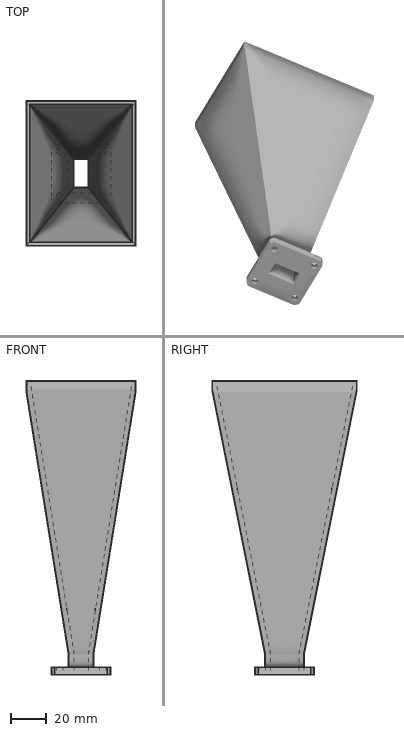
import cadquery as cq

TOTAL_HEIGHT = 165.0
APERTURE_X = 61.4
APERTURE_Y = 81.38
RIM_WALL = 2.0
RIM_HEIGHT_X = 6.25
RIM_HEIGHT_Y = 5.0

BORE_X = 7.9
BORE_Y = 15.8
TUBE_WALL = 3.1
TUBE_X = BORE_X + 2 * TUBE_WALL
TUBE_Y = BORE_Y + 2 * TUBE_WALL
THROAT_Z = 11.7

FLANGE_SIDE = 33.3
FLANGE_THICKNESS = 4.3
FLANGE_CHAMFER = 2.0
HOLE_DIAMETER = 3.7
HOLE_SPACING_X = 24.26
HOLE_SPACING_Y = 25.24


def flared_profile(plane, tube_width, aperture_width, rim_height, depth):
    """Tube, flare and rim outline, extruded equally to both sides of the plane."""
    tube_half = tube_width / 2
    rim_half = aperture_width / 2
    rim_z = TOTAL_HEIGHT - rim_height
    return (
        cq.Workplane(plane)
        .moveTo(-tube_half, 0)
        .lineTo(tube_half, 0)
        .lineTo(tube_half, THROAT_Z)
        .lineTo(rim_half, rim_z)
        .lineTo(rim_half, TOTAL_HEIGHT)
        .lineTo(-rim_half, TOTAL_HEIGHT)
        .lineTo(-rim_half, rim_z)
        .lineTo(-tube_half, THROAT_Z)
        .close()
        .extrude(depth / 2, both=True)
    )


def horn_body():
    """Solid horn: the space shared by its two flared profiles."""
    across_x = flared_profile("XZ", TUBE_X, APERTURE_X, RIM_HEIGHT_X, APERTURE_Y)
    across_y = flared_profile("YZ", TUBE_Y, APERTURE_Y, RIM_HEIGHT_Y, APERTURE_X)
    return across_x.intersect(across_y)


def flange():
    """Square plate with chamfered corners and four through holes."""
    return (
        cq.Workplane("XY")
        .rect(FLANGE_SIDE, FLANGE_SIDE)
        .extrude(FLANGE_THICKNESS)
        .edges("|Z")
        .chamfer(FLANGE_CHAMFER)
        .faces(">Z")
        .workplane()
        .rect(HOLE_SPACING_X, HOLE_SPACING_Y, forConstruction=True)
        .vertices()
        .hole(HOLE_DIAMETER)
    )


def inner_passage():
    """Rectangular bore that widens in a straight flare up to the aperture."""
    bore = cq.Workplane("XY").rect(BORE_X, BORE_Y).extrude(THROAT_Z)
    flare = (
        cq.Workplane("XY", origin=(0, 0, THROAT_Z))
        .rect(BORE_X, BORE_Y)
        .workplane(offset=TOTAL_HEIGHT - THROAT_Z)
        .rect(APERTURE_X - 2 * RIM_WALL, APERTURE_Y - 2 * RIM_WALL)
        .loft(ruled=True)
    )
    return bore.union(flare)


result = horn_body().union(flange()).cut(inner_passage())